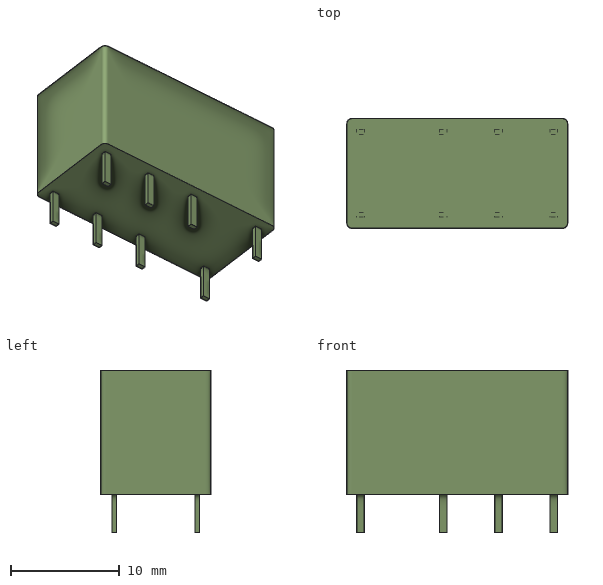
import cadquery as cq

body_length = 20.3
body_width = 10.1
total_height = 14.9
pin_length = 3.5
body_height = total_height - pin_length
corner_radius = 0.5

pin_size_x = 0.71
pin_size_y = 0.43
pin_pitch = 5.08
row_spacing = 1.5 * pin_pitch
last_pin_x = 8.87
pin_steps_from_last = (0, 1, 2, 3.5)


def make_housing():
    """Block with rounded vertical edges, standing on Z = 0."""
    block = cq.Workplane("XY").box(
        body_length, body_width, body_height, centered=(True, True, False)
    )
    return block.edges("|Z").fillet(corner_radius)


def make_pins():
    """Both rows of pins, hanging below the housing."""
    pin_centers = [
        (last_pin_x - step * pin_pitch, side * row_spacing / 2)
        for step in pin_steps_from_last
        for side in (-1, 1)
    ]
    return (
        cq.Workplane("XY")
        .pushPoints(pin_centers)
        .rect(pin_size_x, pin_size_y)
        .extrude(-pin_length)
    )


result = make_housing().union(make_pins())